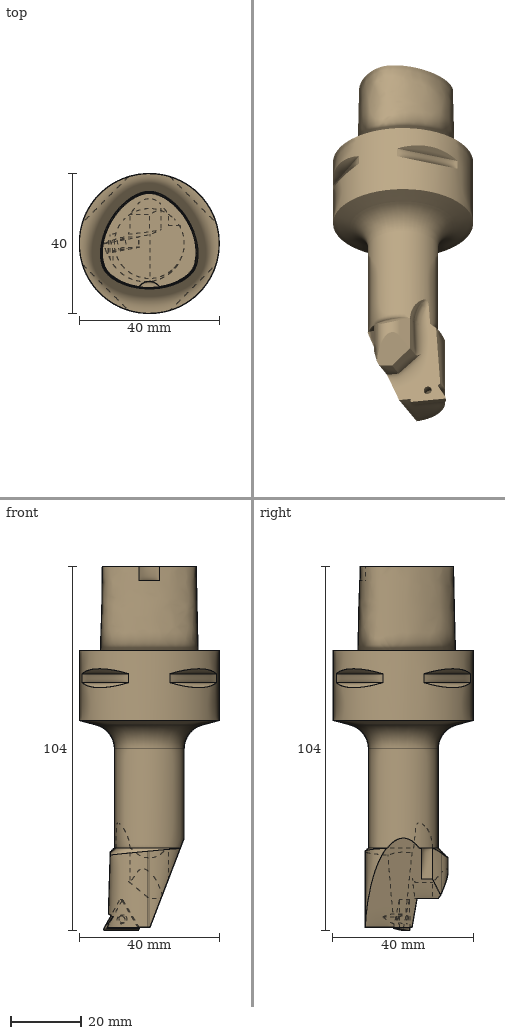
import cadquery as cq
import math

TOTAL_HEIGHT = 104.0

TAPER_LENGTH = 24.0
TAPER_BASE_RADIUS = 13.9
TAPER_BASE_LOBE = 0.97
TAPER_TOP_RADIUS = 13.4
TAPER_TOP_LOBE = 0.9
LOBE_COUNT = 3
OUTLINE_POINTS = 48
KEY_WIDTH = 6.0
KEY_HEIGHT = 4.1
KEY_RADIUS = 3.5
KEY_FLOOR = 10.8

FLANGE_RADIUS = 40.0 / 2
FLANGE_HEIGHT = 20.0
SHAFT_RADIUS = 20.0 / 2
NECK_RADIUS = 7.0
NECK_CONE_ANGLE = math.radians(15)
FLANGE_TOP = TOTAL_HEIGHT - TAPER_LENGTH
FLANGE_BOTTOM = FLANGE_TOP - FLANGE_HEIGHT

SLOT_COUNT = 4
SLOT_FLOOR = 17.7
SLOT_CENTER_DROP = 7.9
SLOT_FLOOR_HEIGHT = 2.5
SLOT_FLARE = 1.5

HEAD_TOP = 23.6
HEAD_BOTTOM = 0.9
HEAD_RADIUS = 11.1
HEAD_CENTER = (-1.0, 0.2)
HEAD_SIDE_LIMIT = 5.2
FACET_X = -0.3
FACET_WIDTH = 0.4
FLANK_TOP_X = -11.1
FLANK_BOTTOM_X = -11.9
BACK_TOP = (10.0, 26.4)
BACK_BOTTOM = (0.2, HEAD_BOTTOM)

LOBE_REACH = 12.8
LOBE_BOTTOM = 9.2
LOBE_CHAMFER = 2.7
LOBE_SHOULDER = (3.5, 10.9)
LOBE_FACET_TOP = 16.8

FLUTE_FLOOR_X = -5.5
FLUTE_FLOOR_BOTTOM = 13.7
FLUTE_FLOOR_TOP = 23.2
FLUTE_RUNOUT_RADIUS = 10.6
FLUTE_RUNOUT_ANGLE = math.radians(60)
FLUTE_FILLET = 1.7
LOBE_EDGE_Y = 8.3
RAKE_SLOPE_X = 0.19
RAKE_SLOPE_Z = 0.1
RAKE_OFFSET = 2.4

INSERT_SIDE = 10.8
INSERT_THICKNESS = 2.9
INSERT_HOLE = 2.3
INSERT_NOSE = 0.4
INSERT_RELIEF = 7
INSERT_CORNER_X = -13.3

NOTCH_OUTER = (-14.6, 6.8)
NOTCH_ROOT = (-10.4, 4.0)
NOTCH_FOOT_X = -12.5

REACH = 41.6


def rake_y(x, z):
    return RAKE_OFFSET + RAKE_SLOPE_X * x + RAKE_SLOPE_Z * z


def lobed_wire(mean_radius, lobe, z):
    """Closed three-lobed outline, one lobe pointing to +Y."""
    points = []
    for i in range(OUTLINE_POINTS):
        turn = 2 * math.pi * i / OUTLINE_POINTS
        phase = LOBE_COUNT * (turn - math.pi / 2)
        support = mean_radius + lobe * math.cos(phase)
        slope = -LOBE_COUNT * lobe * math.sin(phase)
        x = support * math.cos(turn) - slope * math.sin(turn)
        y = support * math.sin(turn) + slope * math.cos(turn)
        points.append(cq.Vector(x, y, z))
    return cq.Wire.assembleEdges([cq.Edge.makeSpline(points, periodic=True)])


def make_taper():
    base = lobed_wire(TAPER_BASE_RADIUS, TAPER_BASE_LOBE, FLANGE_TOP)
    top = lobed_wire(TAPER_TOP_RADIUS, TAPER_TOP_LOBE, TOTAL_HEIGHT)
    taper = cq.Workplane(cq.Solid.makeLoft([base, top], True))
    notch = (
        cq.Workplane("XY", origin=(0, 0, TOTAL_HEIGHT - KEY_HEIGHT))
        .center(0, -KEY_FLOOR - KEY_RADIUS)
        .circle(KEY_RADIUS)
        .extrude(KEY_HEIGHT)
    )
    notch_limit = cq.Workplane().box(KEY_WIDTH, REACH, 3 * TOTAL_HEIGHT)
    return taper.cut(notch.intersect(notch_limit))


def make_flange_and_shaft():
    """Revolved flange, conical neck with a concave round, and shaft."""
    cone_radius = SHAFT_RADIUS + NECK_RADIUS * (1 - math.sin(NECK_CONE_ANGLE))
    cone_z = FLANGE_BOTTOM - (FLANGE_RADIUS - cone_radius) * math.tan(NECK_CONE_ANGLE)
    neck_z = cone_z - NECK_RADIUS * math.cos(NECK_CONE_ANGLE)
    middle = (math.pi / 2 - NECK_CONE_ANGLE) / 2
    arc_middle = (
        SHAFT_RADIUS + NECK_RADIUS * (1 - math.cos(middle)),
        neck_z + NECK_RADIUS * math.sin(middle),
    )
    return (
        cq.Workplane("XZ")
        .moveTo(0, HEAD_TOP)
        .lineTo(SHAFT_RADIUS, HEAD_TOP)
        .lineTo(SHAFT_RADIUS, neck_z)
        .threePointArc(arc_middle, (cone_radius, cone_z))
        .lineTo(FLANGE_RADIUS, FLANGE_BOTTOM)
        .lineTo(FLANGE_RADIUS, FLANGE_TOP)
        .lineTo(0, FLANGE_TOP)
        .close()
        .revolve(360, (0, 0, 0), (0, 1, 0))
    )


def cut_gripper_slots(body):
    depth = FLANGE_RADIUS - SLOT_FLOOR
    floor_half = SLOT_FLOOR_HEIGHT / 2
    mouth_half = floor_half + SLOT_FLARE
    slot = (
        cq.Workplane("XZ", origin=(SLOT_FLOOR, 0, FLANGE_TOP - SLOT_CENTER_DROP))
        .polyline([(0, -floor_half), (depth, -mouth_half), (depth, mouth_half), (0, floor_half)])
        .close()
        .extrude(FLANGE_RADIUS, both=True)
    )
    for i in range(SLOT_COUNT):
        angle = 360 / SLOT_COUNT * (i + 0.5)
        body = body.cut(slot.rotate((0, 0, 0), (0, 0, 1), angle))
    return body


def make_head():
    """Eccentric round head with a side lobe, under one 45 degree cone."""
    height = HEAD_TOP - HEAD_BOTTOM
    plan = cq.Workplane("XY", origin=(0, 0, HEAD_BOTTOM))
    facet_left = FACET_X - FACET_WIDTH / 2
    facet_right = FACET_X + FACET_WIDTH / 2
    side_y = HEAD_SIDE_LIMIT
    center_x, center_y = HEAD_CENTER

    def half_chord(distance):
        return math.sqrt(HEAD_RADIUS**2 - distance**2)

    def lower_arc_point(x):
        return x, center_y - half_chord(x - center_x)

    side_half = half_chord(side_y - center_y)
    round_part = (
        plan.moveTo(center_x - side_half, side_y)
        .threePointArc((center_x - HEAD_RADIUS, center_y), lower_arc_point(facet_left))
        .lineTo(*lower_arc_point(facet_right))
        .threePointArc((center_x + HEAD_RADIUS, center_y), (center_x + side_half, side_y))
        .close()
        .extrude(height)
    )
    shoulder_x, shoulder_y = LOBE_SHOULDER
    lobe = (
        plan.moveTo(FLUTE_FLOOR_X, 0)
        .lineTo(FLUTE_FLOOR_X, LOBE_EDGE_Y)
        .lineTo(-shoulder_x, shoulder_y)
        .threePointArc((0, LOBE_REACH), (shoulder_x, shoulder_y))
        .lineTo(-FLUTE_FLOOR_X, LOBE_EDGE_Y)
        .lineTo(-FLUTE_FLOOR_X, 0)
        .close()
        .extrude(height)
    )
    cone = cq.Workplane(
        cq.Solid.makeCone(SHAFT_RADIUS + height, SHAFT_RADIUS, height, cq.Vector(0, 0, HEAD_BOTTOM))
    )
    return round_part.union(lobe).intersect(cone)


def make_flank_cut():
    """Leaning flat on the -X side, below the shaft."""
    return (
        cq.Workplane("XZ", origin=(0, REACH, 0))
        .polyline([
            (FLANK_TOP_X, HEAD_TOP),
            (FLANK_BOTTOM_X, 0),
            (-REACH, 0),
            (-REACH, HEAD_TOP),
        ])
        .close()
        .extrude(2 * REACH)
    )


def make_back_cut():
    """Sloped relief on the +X side, carried past both of its ends."""
    run = BACK_TOP[0] - BACK_BOTTOM[0]
    rise = BACK_TOP[1] - BACK_BOTTOM[1]
    upper = (BACK_TOP[0] + run, BACK_TOP[1] + rise)
    lower = (BACK_BOTTOM[0] - run, BACK_BOTTOM[1] - rise)
    return (
        cq.Workplane("XZ", origin=(0, REACH, 0))
        .polyline([upper, lower, (upper[0], lower[1])])
        .close()
        .extrude(2 * REACH)
    )


def make_flute():
    """Chip flute: side profile bounded by the inclined rake face."""
    arc_center_x = FLUTE_FLOOR_X - FLUTE_RUNOUT_RADIUS

    def runout_point(angle):
        return (
            arc_center_x + FLUTE_RUNOUT_RADIUS * math.cos(angle),
            FLUTE_FLOOR_TOP + FLUTE_RUNOUT_RADIUS * math.sin(angle),
        )

    end_x, end_z = runout_point(FLUTE_RUNOUT_ANGLE)
    profile = (
        cq.Workplane("XZ", origin=(0, REACH, 0))
        .moveTo(-REACH, -REACH)
        .lineTo(REACH, -REACH)
        .lineTo(REACH, LOBE_BOTTOM)
        .lineTo(0, LOBE_BOTTOM)
        .lineTo(FLUTE_FLOOR_X, FLUTE_FLOOR_BOTTOM)
        .lineTo(FLUTE_FLOOR_X, FLUTE_FLOOR_TOP)
        .threePointArc(runout_point(FLUTE_RUNOUT_ANGLE / 2), (end_x, end_z))
        .lineTo(-REACH, end_z)
        .close()
        .extrude(2 * REACH)
    )
    above_rake = cq.Workplane(rake_plane(0, 0)).rect(4 * REACH, 4 * REACH).extrude(4 * REACH)
    flute = profile.intersect(above_rake)
    corner = (FLUTE_FLOOR_X, FLUTE_FLOOR_TOP)
    probe = (corner[0], rake_y(*corner), (FLUTE_FLOOR_BOTTOM + FLUTE_FLOOR_TOP) / 2)
    return flute.edges(cq.selectors.NearestToPointSelector(probe)).fillet(FLUTE_FILLET)


def make_lobe_facets():
    """Sloped facet and chamfer under the outer end of the lobe."""
    edge_top = cq.Vector(FLUTE_FLOOR_X, LOBE_EDGE_Y, FLUTE_FLOOR_BOTTOM)
    edge_bottom = cq.Vector(0, LOBE_EDGE_Y, LOBE_BOTTOM)
    outer = cq.Vector(0, LOBE_REACH, LOBE_FACET_TOP)
    along = edge_bottom - edge_top
    outward = (outer - edge_top).cross(along)
    facet = cq.Workplane(cq.Plane(edge_top, along, outward)).rect(REACH, REACH).extrude(REACH)
    outside = cq.Workplane().box(REACH, REACH, REACH).translate((0, LOBE_EDGE_Y + REACH / 2, 0))
    chamfer = (
        cq.Workplane("YZ", origin=(-REACH, 0, 0))
        .polyline([
            (LOBE_REACH - LOBE_CHAMFER, LOBE_BOTTOM),
            (LOBE_REACH, LOBE_BOTTOM + LOBE_CHAMFER),
            (LOBE_REACH, LOBE_BOTTOM),
        ])
        .close()
        .extrude(2 * REACH)
    )
    return facet.intersect(outside).union(chamfer)


def rake_plane(x, z):
    """Plane on the rake face, its normal pointing into the flute."""
    return cq.Plane(
        origin=(x, rake_y(x, z), z),
        xDir=(1, RAKE_SLOPE_X, 0),
        normal=(-RAKE_SLOPE_X, 1, -RAKE_SLOPE_Z),
    )


def make_insert_blank():
    """Triangular insert without its hole; lies flush under the rake face."""
    height = INSERT_SIDE * math.sqrt(3) / 2
    triangle = (
        cq.Sketch()
        .polygon([(0, 0), (INSERT_SIDE, 0), (INSERT_SIDE / 2, -height), (0, 0)])
        .vertices()
        .fillet(INSERT_NOSE)
    )
    return (
        cq.Workplane(rake_plane(INSERT_CORNER_X, 0))
        .placeSketch(triangle)
        .extrude(-INSERT_THICKNESS, taper=INSERT_RELIEF)
    )


def make_insert():
    center_height = INSERT_SIDE / (2 * math.sqrt(3))
    hole = (
        cq.Workplane(rake_plane(INSERT_CORNER_X, 0))
        .center(INSERT_SIDE / 2, -center_height)
        .circle(INSERT_HOLE / 2)
        .extrude(-INSERT_THICKNESS)
    )
    return make_insert_blank().cut(hole)


def make_nose_clearance():
    """Notch that frees the cutting corner of the insert."""
    return (
        cq.Workplane("XZ", origin=(0, REACH, 0))
        .polyline([
            NOTCH_OUTER,
            NOTCH_ROOT,
            (NOTCH_FOOT_X, HEAD_BOTTOM),
            (NOTCH_FOOT_X, 0),
            (NOTCH_OUTER[0], 0),
        ])
        .close()
        .extrude(2 * REACH)
    )


def make_holder():
    body = cut_gripper_slots(make_flange_and_shaft())
    body = body.union(make_taper()).union(make_head())
    body = body.cut(make_flank_cut())
    body = body.cut(make_back_cut())
    body = body.cut(make_flute())
    body = body.cut(make_lobe_facets())
    body = body.cut(make_nose_clearance())
    return body.cut(make_insert_blank())


holder = make_holder()
insert = make_insert()
result = cq.Compound.makeCompound([holder.val(), insert.val()])